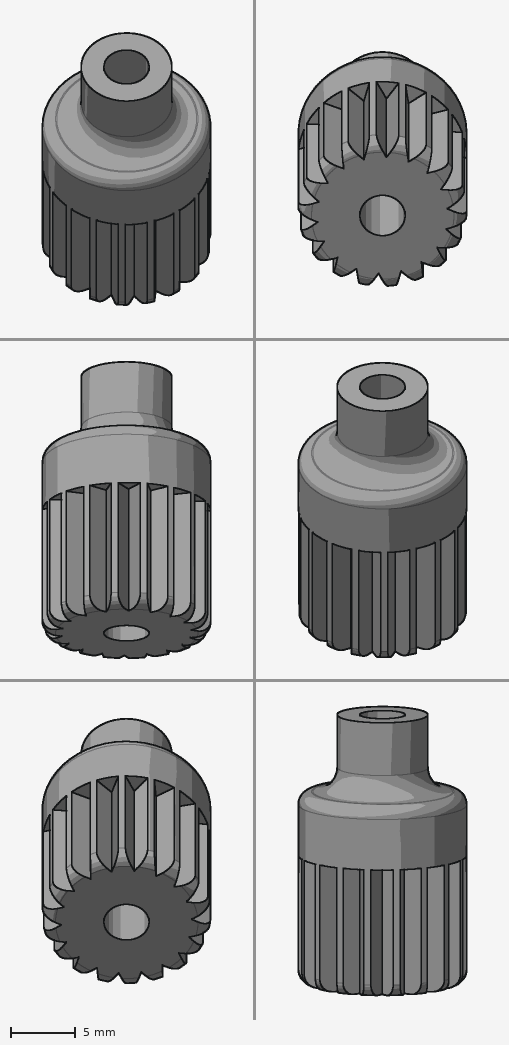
import cadquery as cq
import math

height = 21.0
body_radius = 6.5
neck_radius = 3.5
bore_radius = 1.75

shoulder_height = 15.0
edge_radius = 1.0
neck_fillet_radius = 1.9

groove_count = 18
groove_height = 10.0
groove_apex_radius = 5.05
groove_half_angle = math.radians(7.6)


def turned_body():
    """Revolved body with rounded outer edges, a concave neck root and a through bore."""
    diagonal = math.sqrt(0.5)
    edge_center_radius = body_radius - edge_radius
    edge_mid_radius = edge_center_radius + edge_radius * diagonal
    edge_mid_drop = edge_radius * (1 - diagonal)
    root_radius = neck_radius + neck_fillet_radius
    root_top = shoulder_height + neck_fillet_radius
    root_mid = (
        root_radius - neck_fillet_radius * diagonal,
        root_top - neck_fillet_radius * diagonal,
    )
    return (
        cq.Workplane("XZ")
        .moveTo(bore_radius, 0)
        .lineTo(edge_center_radius, 0)
        .threePointArc((edge_mid_radius, edge_mid_drop), (body_radius, edge_radius))
        .lineTo(body_radius, shoulder_height - edge_radius)
        .threePointArc(
            (edge_mid_radius, shoulder_height - edge_mid_drop),
            (edge_center_radius, shoulder_height),
        )
        .lineTo(root_radius, shoulder_height)
        .threePointArc(root_mid, (neck_radius, root_top))
        .lineTo(neck_radius, height)
        .lineTo(bore_radius, height)
        .close()
        .revolve(360, (0, 0, 0), (0, 1, 0))
    )


def groove_cutter():
    """V-shaped prism pointing inward from the -Y side, extended beyond the body."""
    half_width = body_radius * math.sin(groove_half_angle)
    rim_depth = body_radius * math.cos(groove_half_angle) - groove_apex_radius
    overshoot = 2
    outer_y = -(groove_apex_radius + overshoot * rim_depth)
    outer_x = overshoot * half_width
    return (
        cq.Workplane("XY")
        .polyline([(0, -groove_apex_radius), (outer_x, outer_y), (-outer_x, outer_y)])
        .close()
        .extrude(groove_height)
    )


result = turned_body()
groove = groove_cutter()
for index in range(groove_count):
    angle = index * 360 / groove_count
    result = result.cut(groove.rotate((0, 0, 0), (0, 0, 1), angle))